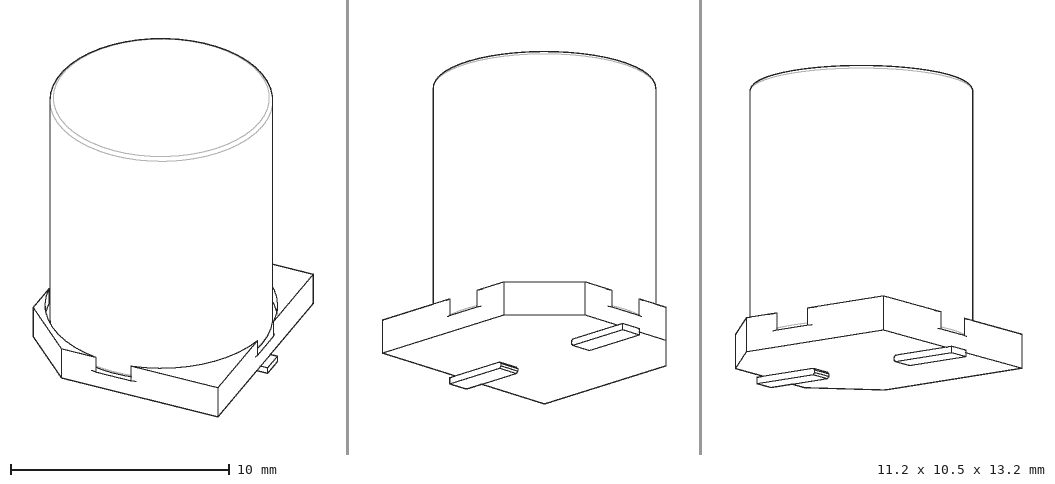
import cadquery as cq

total_height = 13.2
base_width = 10.5
base_height = 1.6
recess_depth = 0.8
recess_diameter = 10.64
can_diameter = 10.2
can_edge_radius = 0.16
lead_span = 11.2
lead_length = 3.33
lead_width = 1.08
lead_thickness = 0.3
lead_end_chamfer = 0.09

corner_cut = base_width / 4
base_bottom = lead_thickness
base_top = base_bottom + base_height
recess_floor = base_top - recess_depth
can_height = total_height - recess_floor


def make_base():
    """Square base with two cut corners and a round recess that breaks through its sides."""
    block = (
        cq.Workplane("XY", origin=(0, 0, base_bottom))
        .rect(base_width, base_width)
        .extrude(base_height)
        .edges("|Z and <X")
        .chamfer(corner_cut)
    )
    recess = (
        cq.Workplane("XY", origin=(0, 0, recess_floor))
        .circle(recess_diameter / 2)
        .extrude(recess_depth)
    )
    return block.cut(recess)


def make_can():
    """Cylindrical can standing on the recess floor, rounded at both rims."""
    return (
        cq.Workplane("XY", origin=(0, 0, recess_floor))
        .circle(can_diameter / 2)
        .extrude(can_height)
        .edges("%CIRCLE")
        .fillet(can_edge_radius)
    )


def make_lead(side):
    """Flat lead with a chamfered inner end; side is -1 for the -X lead and 1 for the +X lead."""
    center_x = side * (lead_span - lead_length) / 2
    inner_end = "<X" if side > 0 else ">X"
    return (
        cq.Workplane("XY", origin=(center_x, 0, 0))
        .rect(lead_length, lead_width)
        .extrude(lead_thickness)
        .faces(inner_end)
        .edges("|Y")
        .chamfer(lead_end_chamfer)
    )


base = make_base()
can = make_can()
leads = [make_lead(side) for side in (-1, 1)]

result = cq.Compound.makeCompound([base.val(), can.val(), *[lead.val() for lead in leads]])